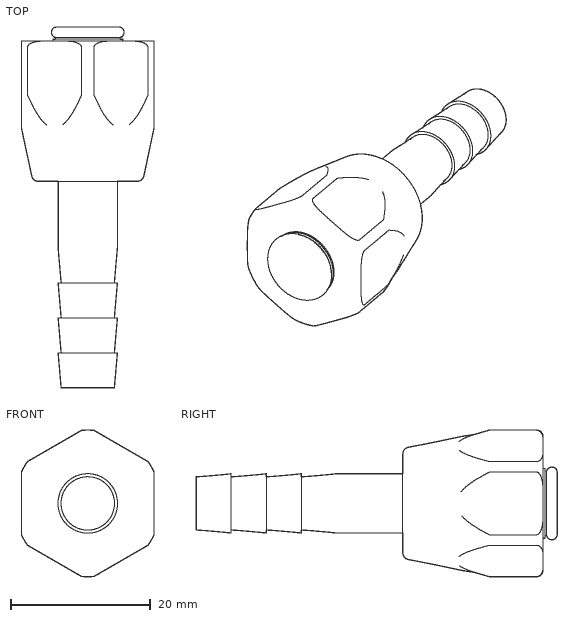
import cadquery as cq
import math

total_length = 51.6
fit_radius = 8.5 / 2

across_flats = 19.0
nut_radius = 21.0 / 2
nut_length = 20.05
taper_start = 7.7
taper_angle = 12.0
nut_edge_radius = 1.0

nose_height = 2.0
bead_tube_radius = 0.75
bead_outer_radius = 5.2
collar_radius = 10.0 / 2
collar_thickness = 0.25
neck_radius = 4.65
barb_count = 4
barb_pitch = 5.0
barb_tip_radius = 7.65 / 2


def revolve_about_y(profile):
    """Full turn of an XY profile about the Y axis."""
    return profile.close().revolve(360, (0, 0, 0), (0, 1, 0))


def make_nut():
    """Hexagonal nut trimmed by a rounded, tapered turning, with a plain bore."""
    taper_drop = (nut_length - taper_start) * math.tan(math.radians(taper_angle))
    turning = revolve_about_y(
        cq.Workplane("XY")
        .lineTo(nut_radius, 0)
        .lineTo(nut_radius, -taper_start)
        .lineTo(nut_radius - taper_drop, -nut_length)
        .lineTo(0, -nut_length)
    )
    turning = turning.faces("<Y or >Y").edges().fillet(nut_edge_radius)
    hexagon = (
        cq.Workplane("XZ")
        .polygon(6, across_flats, circumscribed=True)
        .extrude(nut_length)
    )
    bore = cq.Workplane("XZ").circle(fit_radius).extrude(nut_length)
    return cq.Workplane(hexagon.intersect(turning).cut(bore).solids().val())


def make_stem():
    """Stem with a rounded nose and a collar behind the nut, and a barbed hose tail."""
    bead_center_radius = bead_outer_radius - bead_tube_radius
    bead_center_y = nose_height - bead_tube_radius
    neck_offset = neck_radius - bead_center_radius
    bead_end_y = bead_center_y - math.sqrt(bead_tube_radius**2 - neck_offset**2)

    tail_y = nose_height - total_length
    barbs_start_y = tail_y + barb_count * barb_pitch

    profile = (
        cq.Workplane("XY")
        .moveTo(0, nose_height)
        .lineTo(bead_center_radius, nose_height)
        .threePointArc((bead_outer_radius, bead_center_y), (neck_radius, bead_end_y))
        .lineTo(neck_radius, collar_thickness)
        .lineTo(collar_radius, collar_thickness)
        .lineTo(collar_radius, 0)
        .lineTo(fit_radius, 0)
    )
    for index in range(barb_count):
        barb_y = barbs_start_y - index * barb_pitch
        profile = profile.lineTo(fit_radius, barb_y).lineTo(barb_tip_radius, barb_y - barb_pitch)
    return revolve_about_y(profile.lineTo(0, tail_y))


nut = make_nut()
stem = make_stem()

result = cq.Compound.makeCompound([nut.val(), stem.val()])